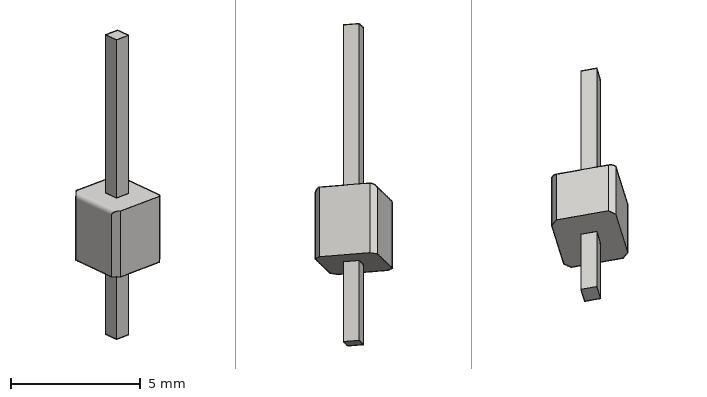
import cadquery as cq

pin_length = 12.7
pin_width = 0.64
pin_below_body = 3.2
pin_offset_x = -0.04

body_width = 2.54
body_depth = 2.5
body_height = 2.8
corner_chamfer = 0.24
top_edge_radius = 0.2


def make_body():
    """Block with rounded front and back top edges and chamfered upright corners."""
    rounded_block = (
        cq.Workplane("XY")
        .box(body_width, body_depth, body_height, centered=(True, True, False))
        .edges("|X and >Z")
        .fillet(top_edge_radius)
    )
    chamfered_column = (
        cq.Workplane("XY")
        .box(body_width, body_depth, body_height, centered=(True, True, False))
        .edges("|Z")
        .chamfer(corner_chamfer)
    )
    return rounded_block.intersect(chamfered_column)


def make_pin():
    """Straight square pin passing through the body."""
    return (
        cq.Workplane("XY")
        .workplane(offset=-pin_below_body)
        .center(pin_offset_x, 0)
        .rect(pin_width, pin_width)
        .extrude(pin_length)
    )


result = make_body().union(make_pin())